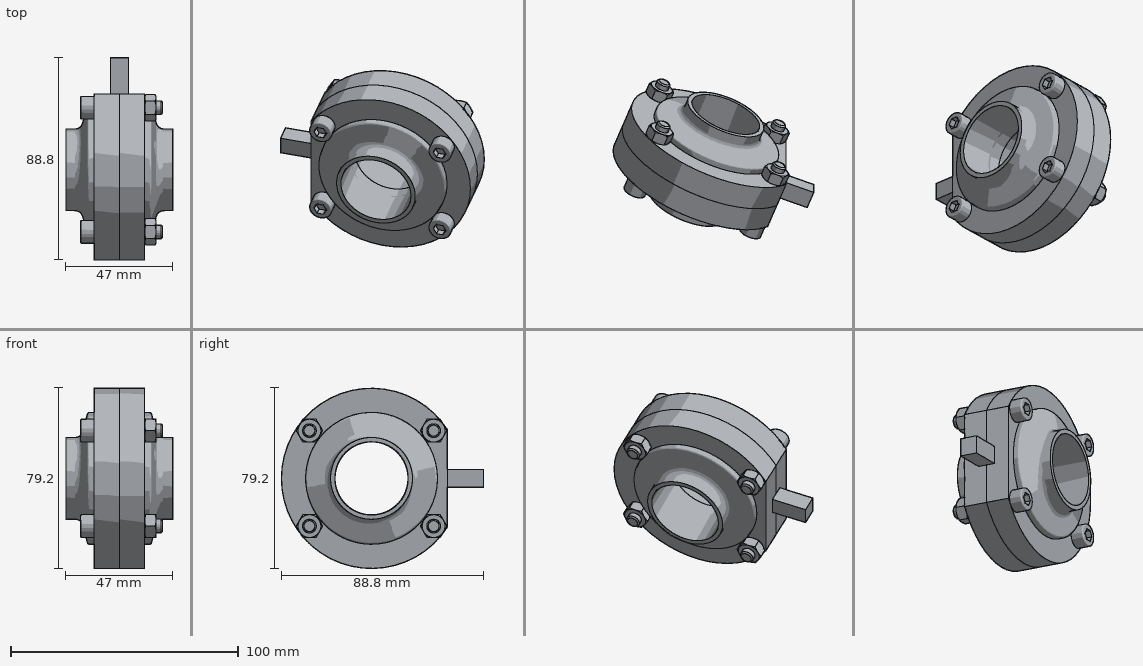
import cadquery as cq
import math


flange_thickness = 11.1
flange_radius = 39.6
flat_offset = 33.3

face_to_face = 47.0
pipe_end = face_to_face / 2
bore_radius = 16.0
pipe_diameter = 36.0
pipe_radius = pipe_diameter / 2
collar_radius = 28.95
cone_angle = 15.0
cone_rim = 13.9
collar_round = 1.0
neck_round = 3.2

chamber_radius = 16.25
chamber_half_width = 5.6
taper_length = 1.15

stem_width = 8.0
stem_length = 15.9

bolt_y = 27.3
bolt_z = 21.0
head_diameter = 10.0
head_height = 5.95
head_round = 0.5
socket_flats = 5.0
socket_depth = 3.0
nut_flats = 10.0
nut_thickness = 5.0
nut_chamfer_angle = 30.0
thread_diameter = 6.0
thread_end = 7.8
thread_chamfer = 0.6

bolt_places = [(y, z) for y in (-bolt_y, bolt_y) for z in (-bolt_z, bolt_z)]
hexagon_ratio = 2 / math.sqrt(3)


def flange_disc():
    """Flange disc from X = 0 to the flange thickness, with a flat on its +Y side."""
    disc = cq.Workplane("YZ").circle(flange_radius).extrude(flange_thickness)
    cutter_size = 2 * flange_radius
    beyond_flat = (
        cq.Workplane("YZ")
        .center(flat_offset + cutter_size / 2, 0)
        .rect(cutter_size, cutter_size)
        .extrude(flange_thickness)
    )
    return disc.cut(beyond_flat)


def hub():
    """Solid of revolution about X: collar, conical face and pipe end."""
    slope = math.tan(math.radians(cone_angle))
    cone_at_pipe = cone_rim + slope * (collar_radius - pipe_radius)
    profile = (
        cq.Workplane("XY")
        .polyline([
            (0, 0),
            (0, collar_radius),
            (cone_rim, collar_radius),
            (cone_at_pipe, pipe_radius),
            (pipe_end, pipe_radius),
            (pipe_end, 0),
        ])
        .close()
    )
    body = profile.revolve(360, (0, 0, 0), (1, 0, 0))
    collar_edge = cq.selectors.NearestToPointSelector((cone_rim, 0, 0))
    body = body.edges("%CIRCLE").edges(collar_edge).fillet(collar_round)
    neck_edge = cq.selectors.NearestToPointSelector((cone_at_pipe, 0, 0))
    return body.edges("%CIRCLE").edges(neck_edge).fillet(neck_round)


def bore():
    """Through bore of one half, with its share of the middle chamber."""
    profile = (
        cq.Workplane("XY")
        .polyline([
            (0, 0),
            (0, chamber_radius),
            (chamber_half_width, chamber_radius),
            (chamber_half_width + taper_length, bore_radius),
            (pipe_end, bore_radius),
            (pipe_end, 0),
        ])
        .close()
    )
    return profile.revolve(360, (0, 0, 0), (1, 0, 0))


def flange_half():
    """One half on the +X side, without its bolt parts."""
    return flange_disc().union(hub()).cut(bore())


def bolt_head():
    """Socket head standing on the plane X = 0, toward -X."""
    head = cq.Workplane("YZ").circle(head_diameter / 2).extrude(-head_height)
    head = head.faces("<X").edges().fillet(head_round)
    socket = (
        cq.Workplane("YZ", origin=(-head_height, 0, 0))
        .polygon(6, socket_flats * hexagon_ratio)
        .extrude(socket_depth)
    )
    return head.cut(socket)


def nut_with_thread_end():
    """Hexagon nut on the plane X = 0, toward +X, with the bolt end through it."""
    corner_radius = nut_flats * hexagon_ratio / 2
    flats_radius = nut_flats / 2
    chamfer = (corner_radius - flats_radius) * math.tan(math.radians(nut_chamfer_angle))
    hexagon = cq.Workplane("YZ").polygon(6, 2 * corner_radius).extrude(nut_thickness)
    envelope = (
        cq.Workplane("XY")
        .polyline([
            (0, 0),
            (0, flats_radius),
            (chamfer, corner_radius),
            (nut_thickness - chamfer, corner_radius),
            (nut_thickness, flats_radius),
            (nut_thickness, 0),
        ])
        .close()
        .revolve(360, (0, 0, 0), (1, 0, 0))
    )
    thread = cq.Workplane("YZ").circle(thread_diameter / 2).extrude(thread_end)
    thread = thread.faces(">X").edges().chamfer(thread_chamfer)
    return hexagon.intersect(envelope).union(thread)


def head_side_half():
    """Half on the -X side, with the bolt heads."""
    half = flange_half().mirror("YZ")
    for y, z in bolt_places:
        half = half.union(bolt_head().translate((-flange_thickness, y, z)))
    return half


def nut_side_half():
    """Half on the +X side, with the nuts and the bolt ends."""
    half = flange_half()
    for y, z in bolt_places:
        half = half.union(nut_with_thread_end().translate((flange_thickness, y, z)))
    return half


def operating_stem():
    """Square bar that stands on the flat of the flanges."""
    bar = cq.Workplane("XY").box(stem_width, stem_length, stem_width)
    return bar.translate((0, flat_offset + stem_length / 2, 0))


head_side = head_side_half()
nut_side = nut_side_half()
stem = operating_stem()

result = cq.Compound.makeCompound([head_side.val(), nut_side.val(), stem.val()])